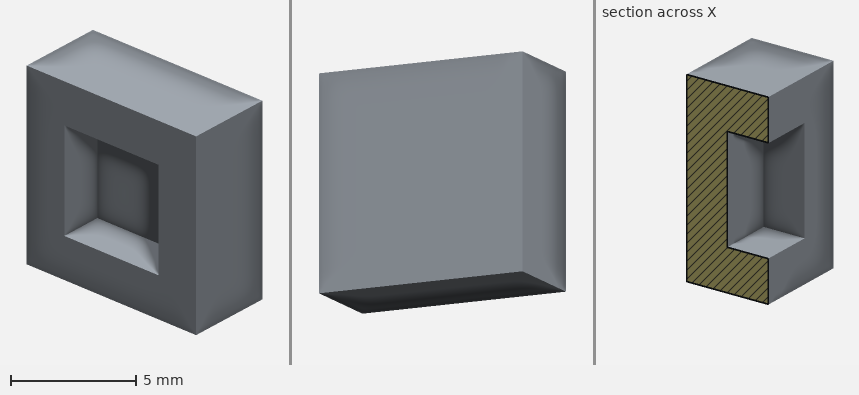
import cadquery as cq

side = 9.0
thickness = 4.0
pocket_side = 5.0
pocket_depth = thickness / 2

block = cq.Workplane("XY").box(side, thickness, side)

result = (
    block.faces("<Y")
    .workplane(centerOption="CenterOfMass")
    .rect(pocket_side, pocket_side)
    .cutBlind(-pocket_depth)
)